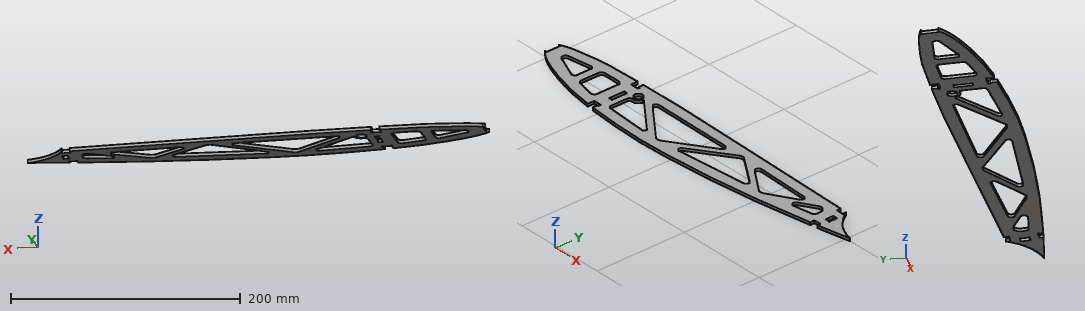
import cadquery as cq

length = 412.0
height = 62.0
thickness = 3.0

nose_top = (0, 50.0)
nose_bottom = (0, 34.0)
crest = (111.5, height)
belly = (158.0, 0)
tail_tip = (length, 30.5)
tail_peak = (376.0, 57.0)
tail_hollow = (391.3, 39.5)
upper_curve = [(14.5, 54.8), (31.0, 57.5), (48.5, 60.0), (74.0, 61.5), crest,
               (208.5, 61.0), (304.5, 58.5), tail_peak]
lower_curve = [(335.2, 16.0), (284.5, 8.5), (210.5, 1.5), belly, (113.3, 2.5), (74.0, 7.0),
               (31.0, 18.0), (8.0, 28.5), nose_bottom]

nose_recess_depth = 2.5

front_notch_x = (92.0, 99.3)
front_notch_floors = (12.0, 54.5)
notch_overrun = 4.0

relief_width = 1.2
relief_height = 2.0

rear_notch_x = (tail_peak[0] - 7.5, tail_peak[0])
rear_notch_floors = (26.8, 52.7)

front_slot_x = (96.8, 100.5)
front_slot_y = (25.0, 42.0)
rear_slot_x = (373.5, 378.5)
rear_slot_y = (35.5, 44.0)
hole_center = (111.0, 46.0)
hole_radius = 4.5
collar_radius = hole_radius + 2.5

nose_window = [(7.0, 42.0, 3.7), (49.0, 48.0, 3.0), (49.0, 24.5, 3.0)]
square_window = [(58.5, 49.5, 4.0), (84.5, 49.5, 3.5), (84.5, 17.0, 3.7), (58.5, 22.5, 3.7)]
hole_window = [(107.5, 15.0, 3.5), (107.5, 39.0, 2.5), (114.0, 39.0, 2.5), (117.8, 46.5, 2.5), (164.0, 11.0, 2.5)]
truss_windows = [
    [(124.5, 50.2, 3.0), (233.5, 49.0, 3.5), (176.5, 10.5, 5.8)],
    [(192.7, 12.5, 3.0), (246.5, 50.2, 5.8), (290.5, 21.5, 3.5)],
    [(262.0, 48.0, 3.5), (343.5, 45.5, 3.5), (302.0, 21.0, 5.8)],
    [(321.0, 26.0, 3.5), (361.0, 50.2, 5.8), (361.0, 33.0, 3.7)],
]


def box_between(x_range, y_range):
    """Full-thickness block spanning the given X and Y ranges."""
    width = x_range[1] - x_range[0]
    depth = y_range[1] - y_range[0]
    block = cq.Workplane("XY").box(width, depth, thickness, centered=False)
    return block.translate((x_range[0], y_range[0], 0))


def disc(center, radius):
    return cq.Workplane("XY").center(*center).circle(radius).extrude(thickness)


def rounded_window(corners):
    """Full-thickness prism whose upright edges are rounded one by one."""
    prism = cq.Workplane("XY").polyline([(x, y) for x, y, _ in corners]).close().extrude(thickness)
    for x, y, radius in corners:
        corner_edge = cq.selectors.NearestToPointSelector((x, y, thickness / 2))
        prism = prism.edges("|Z").edges(corner_edge).fillet(radius)
    return prism


def airfoil_plate():
    return (
        cq.Workplane("XY")
        .moveTo(*nose_top)
        .spline(upper_curve, includeCurrent=True)
        .threePointArc(tail_hollow, tail_tip)
        .spline(lower_curve, includeCurrent=True)
        .close()
        .extrude(thickness)
    )


def notch_pair(x_range, floors):
    """Notches open to the lower and upper edges of the rib."""
    lower = box_between(x_range, (-notch_overrun, floors[0]))
    upper = box_between(x_range, (floors[1], height + notch_overrun))
    return lower.union(upper)


rib = airfoil_plate()

rib = rib.cut(box_between((0, nose_recess_depth), (nose_bottom[1], nose_top[1])))
rib = rib.cut(notch_pair(front_notch_x, front_notch_floors))
relief_x = (front_notch_x[1], front_notch_x[1] + relief_width)
relief_y_ranges = [
    (front_notch_floors[0] - relief_height, front_notch_floors[0]),
    (front_notch_floors[1], front_notch_floors[1] + relief_height),
]
for relief_y in relief_y_ranges:
    rib = rib.cut(box_between(relief_x, relief_y))
rib = rib.cut(notch_pair(rear_notch_x, rear_notch_floors))

rib = rib.cut(box_between(front_slot_x, front_slot_y))
rib = rib.cut(box_between(rear_slot_x, rear_slot_y))

for window in [nose_window, square_window, *truss_windows]:
    rib = rib.cut(rounded_window(window))

rib = rib.cut(rounded_window(hole_window).cut(disc(hole_center, collar_radius)))
rib = rib.cut(disc(hole_center, hole_radius))

result = rib